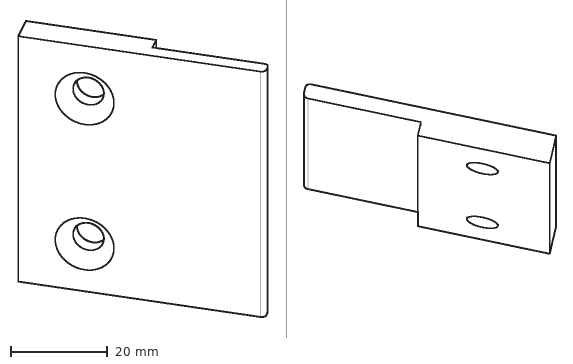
import cadquery as cq

width = 53.0
thickness = 6.2
height = 60.0
thick_width = 27.95
tongue_thickness = 3.2
tip_radius = 1.0

hole_x = 14.3
lower_hole_z = 11.6
hole_spacing = 35.5
hole_diameter = 6.6
sink_diameter = 12.6
sink_angle = 90.0


def make_plate():
    """Stepped profile extruded upward, with both tongue tip edges rounded."""
    plate = (
        cq.Workplane("XY")
        .moveTo(0, 0)
        .lineTo(width, 0)
        .lineTo(width, tongue_thickness)
        .lineTo(thick_width, tongue_thickness)
        .lineTo(thick_width, thickness)
        .lineTo(0, thickness)
        .close()
        .extrude(height)
    )
    return plate.faces(">X").edges("|Z").fillet(tip_radius)


def drill_screw_holes(plate):
    """Two countersunk through holes, one above the other."""
    hole_centers = [(hole_x, lower_hole_z + i * hole_spacing) for i in range(2)]
    return (
        plate.faces("<Y")
        .workplane(origin=(0, 0, 0))
        .pushPoints(hole_centers)
        .cskHole(hole_diameter, sink_diameter, sink_angle)
    )


result = drill_screw_holes(make_plate())